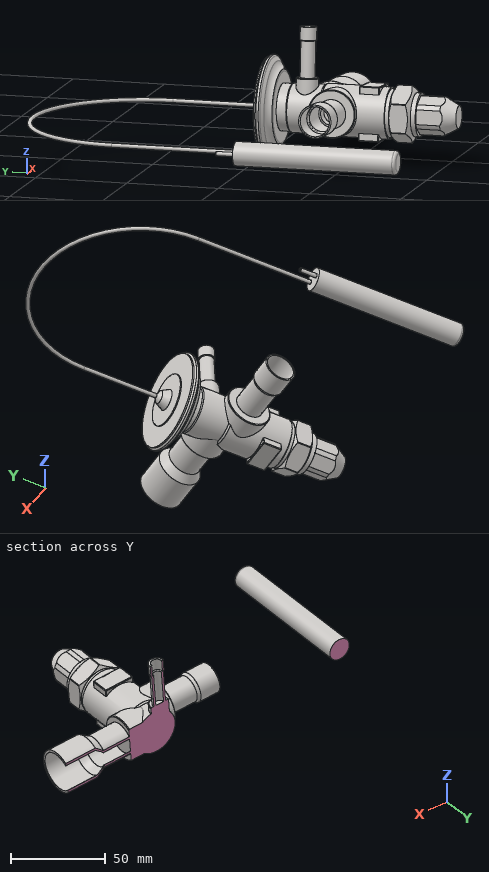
import cadquery as cq
import math


PORT_TILT = 4.3
NECK_DIA = 25.3
COLLAR_DIA = 26.5
BODY_DIA = 27.7
NECK_END_Y = -5.2
COLLAR_START_Y = -6.0
COLLAR_END_Y = -23.1
BODY_START_Y = -24.2
BODY_END_Y = -59.4
RELIEF_DIA = 26.0
BOSS_CHAMFER = 0.5

INLET_Y = -31.5
INLET_BOSS_END = 16.8
PASSAGE_DIA = 12.0
PASSAGE_DEPTH = 6.5
OUTLET_Y = -21.8
EQUALIZER_X = -4.1
EQUALIZER_Y = -14.5

PAD_WIDTH = 18.1
PAD_START_Y = -44.0
PAD_LENGTH = 11.1
PAD_HEIGHT = 14.6
PAD_CHAMFER = 0.5

HEAD_TOP_Y = 9.4
HEAD_RADIUS = 27.5
TOP_DISC_RADIUS = 14.6
UPPER_PLATE_RADIUS = 26.5
UPPER_PLATE_Y = 8.7
RIM_BEVEL_Y = 7.9
RIM_TOP_Y = 7.0
RIM_BOTTOM_Y = 5.7
LOWER_PLATE_RADIUS = 26.6
LOWER_PLATE_Y = 5.0
HOLLOW_OUTER_RADIUS = 24.2
HOLLOW_OUTER_Y = 3.5
HOLLOW_MID_RADIUS = 21.6
HOLLOW_MID_Y = 2.2
HOLLOW_INNER_RADIUS = 20.0
HOLLOW_INNER_Y = 0.2
HEAD_FLAT_RADIUS = 19.0
NIPPLE_RADIUS = 6.0
NIPPLE_NECK_RADIUS = 3.7
NIPPLE_NECK_Y = 13.8
NIPPLE_TOP_Y = 15.7

HEX_SIDES = 6
NUT_FLATS = 27.0
NUT_START_Y = -61.5
NUT_END_Y = -73.1
NUT_TIP_DIA = 31.0
NUT_TOP_FACE_DIA = 26.2
FLANGE_DIA = 23.4
FLANGE_END_Y = -75.7
NUT_CHAMFER_ANGLE = 30
CAP_FLATS = 19.5
CAP_DIA = 21.0
CAP_SHOULDER_Y = -88.6
CAP_END_Y = -96.5
CAP_TIP_DIA = 12.5

OVERALL_LENGTH = 218.3
CAPILLARY_DIA = 2.5
LOOP_RADIUS = 59.5
LOOP_CENTER_Y = 59.8
BULB_DIA = 13.0
BULB_X = -122.0
BULB_TOP_Y = -8.7
BULB_END_Y = LOOP_CENTER_Y + LOOP_RADIUS + CAPILLARY_DIA / 2 - OVERALL_LENGTH
BULB_END_ROUND = 1.7
STUB_X = -125.0
STUB_TOP_Y = 1.3
STUB_CHAMFER = 0.5
WIRE_INSERTION = 2.2


def turned(profile):
    """Solid of revolution about the Y axis from (radius, y) corners."""
    start_y = profile[0][1]
    end_y = profile[-1][1]
    outline = [(0, start_y)] + profile + [(0, end_y)]
    return cq.Workplane("XY").polyline(outline).close().revolve(360, (0, 0), (0, 1))


def hexagon(flats, start_y, end_y):
    """Hexagonal bar along Y with two corners on the Z axis."""
    corner_dia = flats / math.cos(math.pi / HEX_SIDES)
    half_side_angle = 180 / HEX_SIDES
    bar = (
        cq.Workplane("XZ", origin=(0, start_y, 0))
        .polygon(HEX_SIDES, corner_dia)
        .extrude(start_y - end_y)
    )
    return bar.rotate((0, 0, 0), (0, 1, 0), half_side_angle)


def pipe(profile):
    """Solid of revolution about the Z axis from (radius, height) corners."""
    return cq.Workplane("XZ").polyline(profile).close().revolve(360, (0, 0), (0, 1))


def socket_pipe(tube_dia, tube_bore, cup_dia, cup_bore, taper_start, taper_end, end, bore_start):
    """Outside and bore of a tube along Z that widens into a solder socket."""
    outside = pipe([
        (0, 0), (tube_dia / 2, 0), (tube_dia / 2, taper_start),
        (cup_dia / 2, taper_end), (cup_dia / 2, end), (0, end),
    ])
    bore = pipe([
        (0, bore_start), (tube_bore / 2, bore_start), (tube_bore / 2, taper_start),
        (cup_bore / 2, taper_end), (cup_bore / 2, end), (0, end),
    ])
    return outside, bore


def port(boss_dia, boss_end, direction, x, y, **tube):
    """Boss with a socket tube, turned from +Z by the direction angle about Y."""
    outside, bore = socket_pipe(bore_start=boss_end, **tube)
    boss = (
        cq.Workplane("XY")
        .circle(boss_dia / 2)
        .extrude(boss_end)
        .faces(">Z").edges().chamfer(BOSS_CHAMFER)
    )
    solid = boss.union(outside).cut(bore)
    return solid.rotate((0, 0, 0), (0, 1, 0), direction).translate((x, y, 0))


def make_body():
    body = turned([
        (NECK_DIA / 2, 0), (NECK_DIA / 2, NECK_END_Y),
        (COLLAR_DIA / 2, COLLAR_START_Y), (COLLAR_DIA / 2, COLLAR_END_Y),
        (BODY_DIA / 2, BODY_START_Y), (BODY_DIA / 2, BODY_END_Y),
        (RELIEF_DIA / 2, BODY_END_Y), (RELIEF_DIA / 2, NUT_START_Y),
    ])
    pads = cq.Workplane("XY").box(PAD_WIDTH, PAD_LENGTH, 2 * PAD_HEIGHT).edges().chamfer(PAD_CHAMFER)
    body = body.union(pads.translate((0, PAD_START_Y - PAD_LENGTH / 2, 0)))

    inlet = port(
        boss_dia=25.8, boss_end=INLET_BOSS_END, direction=-90, x=0, y=INLET_Y,
        tube_dia=15.5, tube_bore=14.0, cup_dia=17.7, cup_bore=16.0,
        taper_start=35.0, taper_end=36.7, end=49.3,
    )
    outlet = port(
        boss_dia=26.0, boss_end=17.0, direction=90, x=0, y=OUTLET_Y,
        tube_dia=19.0, tube_bore=17.0, cup_dia=25.0, cup_bore=22.3,
        taper_start=34.3, taper_end=39.3, end=59.0,
    )
    equalizer = port(
        boss_dia=12.0, boss_end=17.0, direction=0, x=EQUALIZER_X, y=EQUALIZER_Y,
        tube_dia=8.0, tube_bore=4.8, cup_dia=9.0, cup_bore=6.3,
        taper_start=36.7, taper_end=37.0, end=44.0,
    )
    passage = (
        cq.Workplane("YZ", origin=(-INLET_BOSS_END, INLET_Y, 0))
        .circle(PASSAGE_DIA / 2)
        .extrude(PASSAGE_DEPTH)
    )
    body = body.union(inlet).union(outlet).union(equalizer).cut(passage)
    return body.rotate((0, 0, 0), (0, 1, 0), PORT_TILT)


def make_nipple():
    """Tapered nipple on the head, closing in on the capillary."""
    return turned([
        (CAPILLARY_DIA / 2, NIPPLE_TOP_Y),
        (NIPPLE_NECK_RADIUS, NIPPLE_NECK_Y),
        (NIPPLE_RADIUS, HEAD_TOP_Y),
    ])


def make_head():
    """Diaphragm head: raised top disc, beveled rim and a hollow-curved underside."""
    outline = (
        cq.Workplane("XY")
        .polyline([
            (0, 0), (0, HEAD_TOP_Y), (TOP_DISC_RADIUS, HEAD_TOP_Y), (TOP_DISC_RADIUS, UPPER_PLATE_Y),
            (UPPER_PLATE_RADIUS, UPPER_PLATE_Y), (UPPER_PLATE_RADIUS, RIM_BEVEL_Y),
            (HEAD_RADIUS, RIM_TOP_Y), (HEAD_RADIUS, RIM_BOTTOM_Y),
            (LOWER_PLATE_RADIUS, LOWER_PLATE_Y), (HOLLOW_OUTER_RADIUS, HOLLOW_OUTER_Y),
        ])
        .threePointArc((HOLLOW_MID_RADIUS, HOLLOW_MID_Y), (HOLLOW_INNER_RADIUS, HOLLOW_INNER_Y))
        .lineTo(HEAD_FLAT_RADIUS, 0)
        .close()
    )
    return outline.revolve(360, (0, 0), (0, 1))


def make_nut_and_cap():
    chamfer_slope = math.tan(math.radians(NUT_CHAMFER_ANGLE))
    top_chamfer = (NUT_TIP_DIA - NUT_TOP_FACE_DIA) / 2 * chamfer_slope
    bottom_chamfer = (NUT_TIP_DIA - FLANGE_DIA) / 2 * chamfer_slope
    nut_envelope = turned([
        (NUT_TOP_FACE_DIA / 2, NUT_START_Y), (NUT_TIP_DIA / 2, NUT_START_Y - top_chamfer),
        (NUT_TIP_DIA / 2, NUT_END_Y + bottom_chamfer), (FLANGE_DIA / 2, NUT_END_Y),
    ])
    nut = hexagon(NUT_FLATS, NUT_START_Y, NUT_END_Y).intersect(nut_envelope)
    flange = turned([(FLANGE_DIA / 2, NUT_END_Y), (FLANGE_DIA / 2, FLANGE_END_Y)])
    cap_envelope = turned([
        (CAP_DIA / 2, FLANGE_END_Y), (CAP_DIA / 2, CAP_SHOULDER_Y), (CAP_TIP_DIA / 2, CAP_END_Y),
    ])
    cap = hexagon(CAP_FLATS, FLANGE_END_Y, CAP_END_Y).intersect(cap_envelope)
    cap = cap.rotate((0, 0, 0), (0, 1, 0), PORT_TILT)
    return nut.union(flange).union(cap)


def make_capillary():
    path = (
        cq.Workplane("XY")
        .moveTo(0, HEAD_TOP_Y)
        .lineTo(0, LOOP_CENTER_Y)
        .threePointArc((-LOOP_RADIUS, LOOP_CENTER_Y + LOOP_RADIUS), (-2 * LOOP_RADIUS, LOOP_CENTER_Y))
        .lineTo(-2 * LOOP_RADIUS, BULB_TOP_Y - WIRE_INSERTION)
    )
    return cq.Workplane("XZ", origin=(0, HEAD_TOP_Y, 0)).circle(CAPILLARY_DIA / 2).sweep(path)


def make_bulb():
    bulb = (
        cq.Workplane("XZ", origin=(BULB_X, BULB_TOP_Y, 0))
        .circle(BULB_DIA / 2)
        .extrude(BULB_TOP_Y - BULB_END_Y)
        .faces("<Y").edges().fillet(BULB_END_ROUND)
    )
    stub = (
        cq.Workplane("XZ", origin=(STUB_X, STUB_TOP_Y, 0))
        .circle(CAPILLARY_DIA / 2)
        .extrude(STUB_TOP_Y - BULB_TOP_Y + WIRE_INSERTION)
        .faces(">Y").edges().chamfer(STUB_CHAMFER)
    )
    return bulb.union(stub)


result = (
    make_body()
    .union(make_head())
    .union(make_nipple())
    .union(make_nut_and_cap())
    .union(make_capillary())
    .union(make_bulb())
)